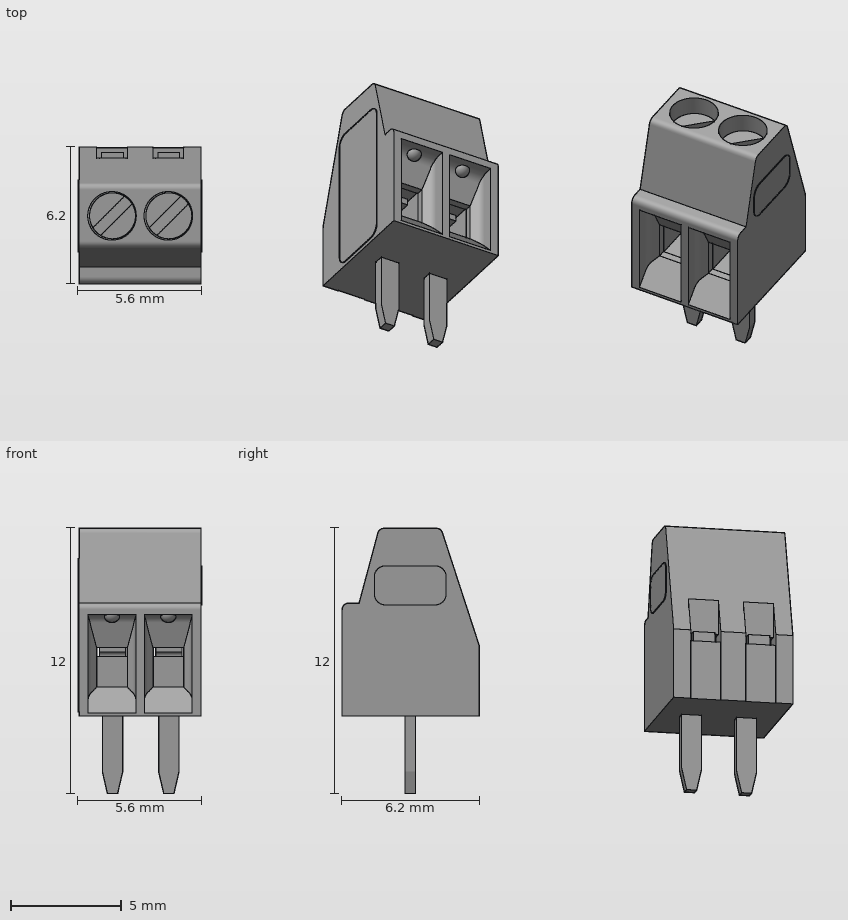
import cadquery as cq
import math


housing_width = 5.52
housing_depth = 6.2
total_height = 12.0
housing_bottom = 3.5
ledge_height = 8.62
ledge_depth = 0.77
front_slope_angle = 15.0
back_slope_foot = 6.7
back_top_corner_depth = 4.48
edge_radius = 0.3

pole_pitch = 2.55
pole_xs = [-pole_pitch / 2, pole_pitch / 2]
screw_axis_y = 3.08
metal_shift = 0.02
metal_xs = [x + metal_shift for x in pole_xs]

panel_thickness = 0.042
panel_width = 3.25
panel_corner_radius = 0.5
left_panel_bottom = 3.7
left_panel_top = 10.63
right_panel_bottom = 8.53
right_panel_top = 10.3

entry_width = 2.16
entry_bottom = 3.65
entry_top = 8.1
tunnel_width = 1.39
tunnel_bottom = 4.81
tunnel_top = 6.6
funnel_radius = 0.5
funnel_depth = tunnel_bottom - entry_bottom
ceiling_corner_y = funnel_depth - (entry_top - tunnel_top) * math.tan(math.radians(front_slope_angle))
bump_radius = 0.37

frame_front = 1.52
frame_depth = 2 * (screw_axis_y - frame_front)
frame_wall = 0.25
frame_space_top = 6.7
frame_width = tunnel_width + 2 * frame_wall
frame_bottom = tunnel_bottom - frame_wall
frame_top = frame_space_top + frame_wall
pin_width = 0.92
pin_thickness = 0.49
pin_tip_width = 0.47
pin_taper_height = 0.98

screw_bore_diameter = 2.2
head_diameter = 2.08
head_recess = 0.84
head_top = total_height - head_recess
head_bottom = 9.6
shank_diameter = 1.6
shank_bore_diameter = 1.7
slot_width = 0.49
slot_depth = 0.55
slot_angle = 45.0

plate_width = 1.2
plate_front = screw_axis_y - shank_diameter / 2
plate_bottom = 6.4
plate_top = frame_space_top
plate_fillet_radius = 0.19
foot_bottom = plate_bottom - plate_fillet_radius
foot_front = 5.4
tongue_width = 0.98
tongue_back = 5.95

back_slot_depth = 0.52
back_slot_front = housing_depth - back_slot_depth
back_recess_depth = 0.04


def box(width, y_start, y_end, z_start, z_end):
    """Block centred on X = 0."""
    block = cq.Workplane("XY").box(width, y_end - y_start, z_end - z_start, centered=(True, False, False))
    return block.translate((0, y_start, z_start))


def upright_cylinder(diameter, z_start, z_end):
    """Cylinder on the screw axis of a pole at X = 0."""
    return cq.Workplane("XY", origin=(0, screw_axis_y, z_start)).circle(diameter / 2).extrude(z_end - z_start)


def side_profile(points, width):
    """Closed (Y, Z) outline extruded along X, centred on X = 0."""
    return cq.Workplane("YZ").polyline(points).close().extrude(width / 2, both=True)


def side_panel(side, z_start, z_end):
    """Raised rounded panel on the -X (side = -1) or +X (side = 1) face."""
    return (
        cq.Workplane("YZ", origin=(side * housing_width / 2, screw_axis_y, (z_start + z_end) / 2))
        .rect(panel_width, z_end - z_start)
        .extrude(side * panel_thickness)
        .edges("|X")
        .fillet(panel_corner_radius)
    )


def housing_block():
    """Solid outline with rounded ledge and top edges."""
    slope_height = total_height - ledge_height
    front_top_corner_depth = ledge_depth + slope_height * math.tan(math.radians(front_slope_angle))
    block = side_profile(
        [
            (0, housing_bottom),
            (0, ledge_height),
            (ledge_depth, ledge_height),
            (front_top_corner_depth, total_height),
            (back_top_corner_depth, total_height),
            (housing_depth, back_slope_foot),
            (housing_depth, housing_bottom),
        ],
        housing_width,
    )
    ledge_edge = cq.selectors.NearestToPointSelector((0, 0, ledge_height))
    block = block.edges(ledge_edge).fillet(edge_radius)
    return block.faces(">Z").edges("|X").fillet(edge_radius)


def wire_funnel():
    """Wire entry: plan outline and side outline crossed, with a round bump left on the ceiling."""
    half_entry = entry_width / 2
    half_tunnel = tunnel_width / 2
    wall_corner_y = funnel_depth - (half_entry - half_tunnel)
    plan = (
        cq.Workplane("XY", origin=(0, 0, entry_bottom))
        .polyline(
            [
                (-half_entry, 0),
                (half_entry, 0),
                (half_entry, wall_corner_y),
                (half_tunnel, funnel_depth),
                (-half_tunnel, funnel_depth),
                (-half_entry, wall_corner_y),
            ]
        )
        .close()
        .extrude(entry_top - entry_bottom)
    )
    for x in (-half_entry, half_entry):
        wall_edge = cq.selectors.NearestToPointSelector((x, wall_corner_y, (entry_bottom + entry_top) / 2))
        plan = plan.edges(wall_edge).fillet(funnel_radius)

    side = side_profile(
        [
            (0, entry_bottom),
            (0, entry_top),
            (ceiling_corner_y, entry_top),
            (funnel_depth, tunnel_top),
            (funnel_depth, tunnel_bottom),
        ],
        entry_width,
    )
    ceiling_edge = cq.selectors.NearestToPointSelector((0, ceiling_corner_y, entry_top))
    side = side.edges(ceiling_edge).fillet(funnel_radius)

    bump = cq.Workplane("XY").sphere(bump_radius).translate((0, ceiling_corner_y, entry_top))
    return plan.intersect(side).cut(bump)


def join(spaces):
    """Union of several overlapping or touching spaces."""
    joined = spaces[0]
    for space in spaces[1:]:
        joined = joined.union(space)
    return joined


def pole_openings():
    """Wire passage, screw head bore and back slot of one pole."""
    frame_back = frame_front + frame_depth
    tunnel = box(tunnel_width, funnel_depth, frame_front, tunnel_bottom, tunnel_top)
    plate_passage = box(tunnel_width, frame_back, back_slot_front, foot_bottom, frame_space_top)
    back_slot = box(tunnel_width, back_slot_front, housing_depth, foot_bottom, total_height)
    recess_front = housing_depth - back_recess_depth
    back_recess = box(tunnel_width, recess_front, housing_depth, housing_bottom, foot_bottom)
    head_bore = upright_cylinder(screw_bore_diameter, head_bottom, total_height)
    return join([wire_funnel(), tunnel, plate_passage, back_slot, back_recess, head_bore])


def metal_room():
    """Room for the terminal frame, its pin and the screw shank of one pole."""
    pin_front = screw_axis_y - pin_thickness / 2
    frame_room = box(frame_width, frame_front, frame_front + frame_depth, frame_bottom, frame_top)
    pin_hole = box(pin_width, pin_front, pin_front + pin_thickness, housing_bottom, frame_bottom)
    shank_bore = upright_cylinder(shank_bore_diameter, frame_top, head_bottom)
    return join([frame_room, pin_hole, shank_bore])


def make_housing():
    housing = housing_block()
    housing = housing.union(side_panel(-1, left_panel_bottom, left_panel_top))
    housing = housing.union(side_panel(1, right_panel_bottom, right_panel_top))
    openings = pole_openings()
    room = metal_room()
    for x in pole_xs:
        housing = housing.cut(openings.translate((x, 0, 0)))
    for x in metal_xs:
        housing = housing.cut(room.translate((x, 0, 0)))
    return housing


def make_terminal():
    """Frame open at front and back, with a screw hole on top and a tapered solder pin below."""
    frame_back = frame_front + frame_depth
    frame = box(frame_width, frame_front, frame_back, frame_bottom, frame_top)
    frame = frame.cut(box(tunnel_width, frame_front, frame_back, tunnel_bottom, frame_space_top))
    frame = frame.cut(upright_cylinder(shank_diameter, frame_space_top, frame_top))
    pin = (
        cq.Workplane("XZ", origin=(0, screw_axis_y, 0))
        .polyline(
            [
                (-pin_tip_width / 2, 0),
                (pin_tip_width / 2, 0),
                (pin_width / 2, pin_taper_height),
                (pin_width / 2, frame_bottom),
                (-pin_width / 2, frame_bottom),
                (-pin_width / 2, pin_taper_height),
            ]
        )
        .close()
        .extrude(pin_thickness / 2, both=True)
    )
    return frame.union(pin)


def make_screw():
    """Slotted cylindrical head on a plain shank that stands on the pressure plate."""
    head = upright_cylinder(head_diameter, head_bottom, head_top)
    shank = upright_cylinder(shank_diameter, plate_top, head_bottom)
    slot = (
        cq.Workplane("XY")
        .box(head_diameter * 2, slot_width, slot_depth, centered=(True, True, False))
        .rotate((0, 0, 0), (0, 0, 1), slot_angle)
        .translate((0, screw_axis_y, head_top - slot_depth))
    )
    return head.union(shank).cut(slot)


def make_plate():
    """Arm under the screw, a filleted foot on the back wall and a narrower tongue in the back slot."""
    arm = (
        cq.Workplane("YZ")
        .moveTo(plate_front, plate_bottom)
        .lineTo(plate_front, plate_top)
        .lineTo(back_slot_front, plate_top)
        .lineTo(back_slot_front, foot_bottom)
        .lineTo(foot_front, foot_bottom)
        .radiusArc((foot_front - plate_fillet_radius, plate_bottom), -plate_fillet_radius)
        .close()
        .extrude(plate_width / 2, both=True)
    )
    tongue = box(tongue_width, back_slot_front, tongue_back, foot_bottom, plate_top)
    return arm.union(tongue)


housing = make_housing()
terminal = make_terminal()
screw = make_screw()
plate = make_plate()
terminals = [terminal.translate((x, 0, 0)).val() for x in metal_xs]
screws = [screw.translate((x, 0, 0)).val() for x in metal_xs]
plates = [plate.translate((x, 0, 0)).val() for x in metal_xs]

result = cq.Compound.makeCompound([housing.val(), *terminals, *screws, *plates])